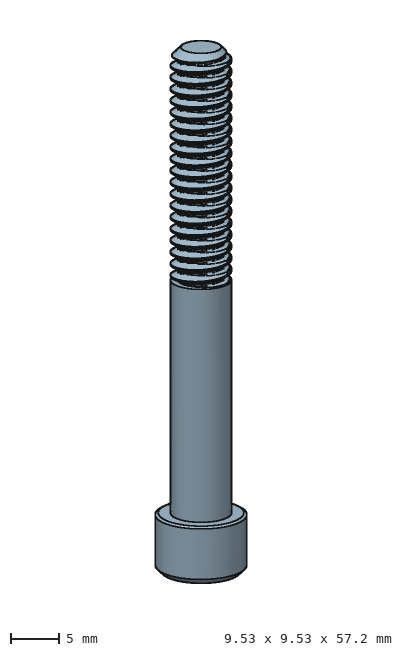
import cadquery as cq
import math

INCH = 25.4

major_diameter = INCH / 4
pitch = INCH / 20
length_under_head = 2 * INCH
thread_length = 1 * INCH
head_diameter = 0.375 * INCH
head_height = major_diameter
head_end_chamfer = 0.65
bearing_edge_width = 0.33
bearing_edge_height = 0.2
tip_face_radius = 2.1
tip_envelope_margin = 0.1

major_radius = major_diameter / 2
head_radius = head_diameter / 2
thread_depth = 0.6134 * pitch
minor_radius = major_radius - thread_depth
envelope_radius = major_radius + tip_envelope_margin
thread_start = head_height + length_under_head - thread_length

flank_slope = math.tan(math.radians(30))
groove_half_width = (pitch - pitch / 8) / 2
root_half_width = groove_half_width - thread_depth * flank_slope

root_half_angle = 2 * math.pi * root_half_width / pitch
mouth_half_angle = 2 * math.pi * groove_half_width / pitch

groove_start_angle = -79
flank_spline_spans = 8


def make_head():
    """Cylindrical head with a chamfered outer end and a shallow bevel round the bearing face."""
    outline = [
        (0, 0),
        (head_radius - head_end_chamfer, 0),
        (head_radius, head_end_chamfer),
        (head_radius, head_height - bearing_edge_height),
        (head_radius - bearing_edge_width, head_height),
        (0, head_height),
    ]
    return cq.Workplane("XZ").polyline(outline).close().revolve(360, (0, 0, 0), (0, 1, 0))


def make_shank():
    """Plain full-diameter shank between the head and the thread."""
    shank_length = thread_start - head_height
    return cq.Workplane("XY").workplane(offset=head_height).circle(major_radius).extrude(shank_length)


def flank_point(fraction, side):
    """Point on a groove flank: fraction 0 at the root, 1 at the crest; side is +1 or -1."""
    radius = minor_radius + fraction * thread_depth
    angle = side * (root_half_angle + fraction * (mouth_half_angle - root_half_angle))
    return (radius * math.cos(angle), radius * math.sin(angle))


def flank_points(side):
    """Spiral flank from the root out to the crest."""
    return [flank_point(i / flank_spline_spans, side) for i in range(flank_spline_spans + 1)]


def make_thread_section():
    """Cross-section of the thread: root arc and crest arc joined by two spiral flanks."""
    rising = flank_points(1)
    falling = flank_points(-1)[::-1]
    return (
        cq.Workplane("XY")
        .moveTo(*falling[-1])
        .threePointArc((minor_radius, 0), rising[0])
        .spline(rising[1:], includeCurrent=True)
        .threePointArc((-major_radius, 0), falling[0])
        .spline(falling[1:], includeCurrent=True)
        .close()
    )


def make_tip_envelope():
    """Rod with a 45 degree chamfered tip that bounds the thread."""
    rod = cq.Workplane("XY").workplane(offset=thread_start).circle(envelope_radius).extrude(thread_length)
    return rod.faces(">Z").chamfer(envelope_radius - tip_face_radius)


def make_threaded_end():
    """Right-hand thread stacked from identical single turns, trimmed to the chamfered tip."""
    turn = make_thread_section().twistExtrude(pitch, 360).rotate((0, 0, 0), (0, 0, 1), groove_start_angle)
    turn_count = round(thread_length / pitch)
    turns = [turn.translate((0, 0, thread_start + i * pitch)).val() for i in range(turn_count)]
    tip_turn = turns[-1].intersect(make_tip_envelope().val())
    return cq.Workplane(turns[0].fuse(*turns[1:-1], tip_turn))


result = make_head().union(make_shank()).union(make_threaded_end())